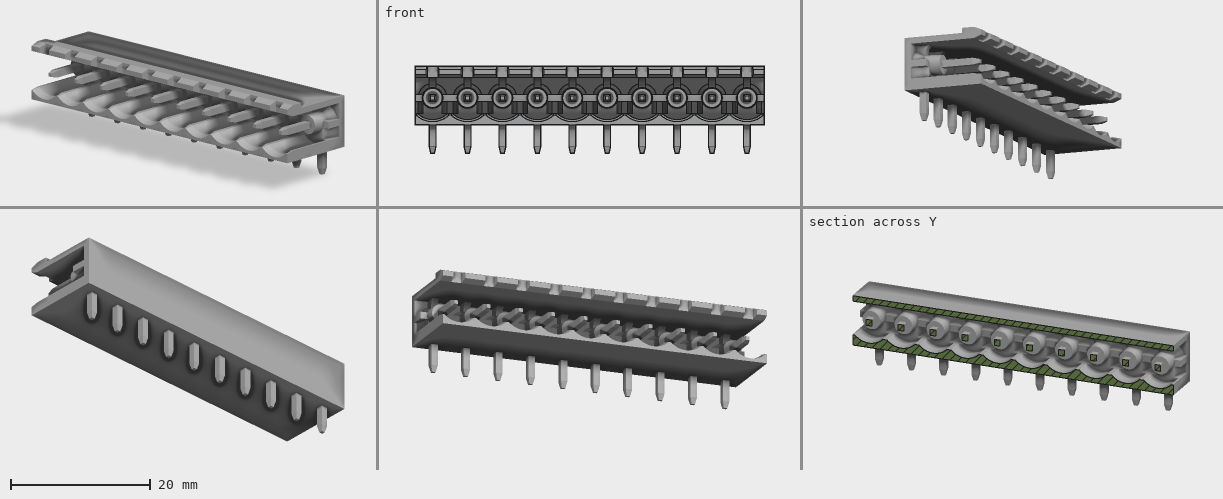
import cadquery as cq


pin_count = 10
pitch = 5.0
pin_size = 1.0
pin_tip_size = 0.55
pin_tip_length = 1.0
pin_axis_z = 3.85
contact_tip_y = 1.2
tail_axis_y = 10.0
tail_tip_z = -4.1

length = pin_count * pitch
depth = 12.0
wall = 1.0
cavity_back_y = depth - wall
roof_bottom_z = 6.75
roof_top_z = 7.65
lip_top_z = 8.4
lip_depth = 3.0
lip_nose_length = 1.15
lip_nose_bottom_z = 7.2
lip_nose_top_z = 7.95
floor_top_z = 1.65
floor_front_z = 1.4
floor_lead_in = 1.2

web_front_y = 8.65
web_thickness = 1.0
step_y = 9.65
post_front_half_width = 1.38
post_step_half_width = 1.6
boss_back_radius = 2.07
boss_radius = 1.48
collar_front_radius = 1.38
collar_front_y = 7.0

gusset_width = 1.0
gusset_front_y = 9.55
gusset_top_y = 9.0
gusset_curve_bottom_z = 5.7

trough_radius = 3.1
trough_front_radius = 3.4
notch_back_width = 1.5
notch_front_width = 1.85

pin_positions = [(i - (pin_count - 1) / 2) * pitch for i in range(pin_count)]


def housing_shell():
    """C-shaped shell: floor with a sloped front, back wall, roof and hooked lip."""
    section = cq.Workplane("YZ").polyline([
        (0, 0),
        (depth, 0),
        (depth, roof_top_z),
        (lip_depth, roof_top_z),
        (lip_depth, lip_top_z),
        (lip_nose_length, lip_top_z),
        (0, lip_nose_top_z),
        (0, lip_nose_bottom_z),
        (lip_nose_length, roof_bottom_z),
        (cavity_back_y, roof_bottom_z),
        (cavity_back_y, floor_top_z),
        (floor_lead_in, floor_top_z),
        (0, floor_front_z),
    ]).close()
    return section.extrude(length / 2, both=True)


def web():
    """Shelf along the back wall at the height of the pins."""
    return (
        cq.Workplane("XY")
        .box(length, depth - web_front_y, web_thickness, centered=(True, False, True))
        .translate((0, web_front_y, pin_axis_z))
    )


def post(x):
    """Pillar under a pin, from the housing underside to the pin axis, widening to the back wall."""
    outline = [
        (x - post_front_half_width, web_front_y),
        (x + post_front_half_width, web_front_y),
        (x + post_step_half_width, step_y),
        (x + boss_back_radius, cavity_back_y),
        (x - boss_back_radius, cavity_back_y),
        (x - post_step_half_width, step_y),
    ]
    return cq.Workplane("XY").polyline(outline).close().extrude(pin_axis_z)


def boss(x):
    """Round boss on the pin axis: cone at the back wall, cylinder, then a slightly drafted collar."""
    profile = [
        (0, collar_front_y),
        (collar_front_radius, collar_front_y),
        (boss_radius, web_front_y),
        (boss_radius, step_y),
        (boss_back_radius, cavity_back_y),
        (0, cavity_back_y),
    ]
    return (
        cq.Workplane("XY")
        .polyline(profile)
        .close()
        .revolve(360, (0, 0), (0, 1))
        .translate((x, 0, pin_axis_z))
    )


def gusset(x):
    """Rib from the boss to the roof, its front curving forward where it meets the roof."""
    drop = roof_bottom_z - gusset_curve_bottom_z
    reach = gusset_front_y - gusset_top_y
    curve_radius = (drop**2 + reach**2) / (2 * reach)
    mid_drop = drop / 2
    mid_y = gusset_front_y - curve_radius + (curve_radius**2 - mid_drop**2) ** 0.5
    return (
        cq.Workplane("YZ", origin=(x, 0, 0))
        .moveTo(cavity_back_y, pin_axis_z)
        .lineTo(gusset_front_y, pin_axis_z)
        .lineTo(gusset_front_y, gusset_curve_bottom_z)
        .threePointArc((mid_y, gusset_curve_bottom_z + mid_drop), (gusset_top_y, roof_bottom_z))
        .lineTo(cavity_back_y, roof_bottom_z)
        .close()
        .extrude(gusset_width / 2, both=True)
    )


def pointed_bar(x, direction, bar_length):
    """Square bar from the bend of a pin along a direction, ending in a tapered tip."""
    plane = cq.Plane(origin=(x, tail_axis_y, pin_axis_z), xDir=(1, 0, 0), normal=direction)
    shank_length = bar_length - pin_tip_length
    shank = cq.Workplane(plane).rect(pin_size, pin_size).extrude(shank_length)
    tip = (
        cq.Workplane(plane)
        .workplane(offset=shank_length)
        .rect(pin_size, pin_size)
        .workplane(offset=pin_tip_length)
        .rect(pin_tip_size, pin_tip_size)
        .loft()
    )
    return shank.union(tip)


def pin(x):
    """Right-angle pin: contact pointing to -Y, solder tail pointing to -Z."""
    contact = pointed_bar(x, (0, -1, 0), tail_axis_y - contact_tip_y)
    tail = pointed_bar(x, (0, 0, -1), pin_axis_z - tail_tip_z)
    return contact.union(tail)


def trough(x):
    """Round channel in the floor around the pin axis, opening out as a cone at the front."""
    profile = [
        (0, 0),
        (trough_front_radius, 0),
        (trough_radius, floor_lead_in),
        (trough_radius, web_front_y),
        (0, web_front_y),
    ]
    channel = (
        cq.Workplane("XY")
        .polyline(profile)
        .close()
        .revolve(360, (0, 0), (0, 1))
        .translate((x, 0, pin_axis_z))
    )
    lower_part = cq.Workplane("XY").box(2 * pitch, depth, pin_axis_z, centered=(True, False, False))
    return channel.intersect(lower_part.translate((x, 0, 0)))


def lip_notch(x):
    """Gap in the nose of the lip above a pin, wider at the front."""
    outline = [
        (x - notch_front_width / 2, 0),
        (x + notch_front_width / 2, 0),
        (x + notch_back_width / 2, lip_nose_length),
        (x - notch_back_width / 2, lip_nose_length),
    ]
    return (
        cq.Workplane("XY", origin=(0, 0, roof_bottom_z))
        .polyline(outline)
        .close()
        .extrude(lip_top_z - roof_bottom_z)
    )


result = housing_shell()
for pin_x in pin_positions:
    result = result.cut(trough(pin_x)).cut(lip_notch(pin_x))
result = result.union(web())
for pin_x in pin_positions:
    for feature in (post, boss, gusset, pin):
        result = result.union(feature(pin_x))